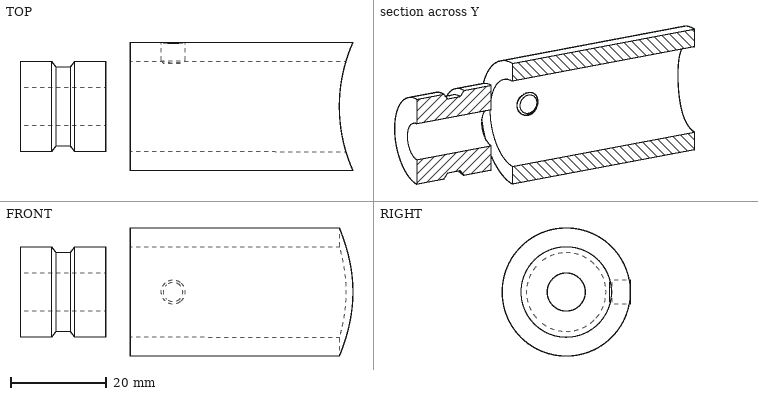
import cadquery as cq

overall_length = 69.9
sleeve_diameter = 27.0
fit_diameter = 19.0

plug_length = 18.0
plug_hole_diameter = 8.0
groove_floor_diameter = 16.65
groove_floor_width = 3.0
groove_mouth_width = 4.8

sleeve_start = 23.1
saddle_depth = 2.9

screw_diameter = 5.0
screw_setback = 9.0
screw_tip_protrusion = 0.4
screw_tip_chamfer = 0.5

sleeve_radius = sleeve_diameter / 2
fit_radius = fit_diameter / 2
sleeve_length = overall_length - sleeve_start
screw_x = sleeve_start + screw_setback
screw_length = sleeve_radius - fit_radius + screw_tip_protrusion
saddle_radius = (sleeve_radius**2 + saddle_depth**2) / (2 * saddle_depth)


def make_plug():
    """Bored plug with a tapered-side groove around its middle."""
    middle = plug_length / 2
    hole_radius = plug_hole_diameter / 2
    floor_radius = groove_floor_diameter / 2
    half_floor = groove_floor_width / 2
    half_mouth = groove_mouth_width / 2
    profile = [
        (0, hole_radius),
        (0, fit_radius),
        (middle - half_mouth, fit_radius),
        (middle - half_floor, floor_radius),
        (middle + half_floor, floor_radius),
        (middle + half_mouth, fit_radius),
        (plug_length, fit_radius),
        (plug_length, hole_radius),
    ]
    return cq.Workplane("XY").polyline(profile).close().revolve(360, (0, 0, 0), (1, 0, 0))


def make_screw():
    """Radial set screw, flat outside on the +Y side and chamfered at the inner tip."""
    return (
        cq.Workplane("XZ", origin=(screw_x, sleeve_radius, 0))
        .circle(screw_diameter / 2)
        .extrude(screw_length)
        .faces("<Y")
        .chamfer(screw_tip_chamfer)
    )


def make_sleeve():
    """Tube with a saddle-shaped far end and a radial hole for the set screw."""
    tube = (
        cq.Workplane("YZ", origin=(sleeve_start, 0, 0))
        .circle(sleeve_radius)
        .circle(fit_radius)
        .extrude(sleeve_length)
    )
    saddle_x = overall_length - saddle_depth + saddle_radius
    saddle_cutter = (
        cq.Workplane("XY", origin=(saddle_x, 0, -sleeve_radius))
        .circle(saddle_radius)
        .extrude(sleeve_diameter)
    )
    screw_hole = (
        cq.Workplane("XZ", origin=(screw_x, sleeve_radius, 0))
        .circle(screw_diameter / 2)
        .extrude(sleeve_radius)
    )
    return tube.cut(saddle_cutter).cut(screw_hole)


plug = make_plug()
sleeve = make_sleeve()
screw = make_screw()

result = cq.Compound.makeCompound([plug.val(), sleeve.val(), screw.val()])